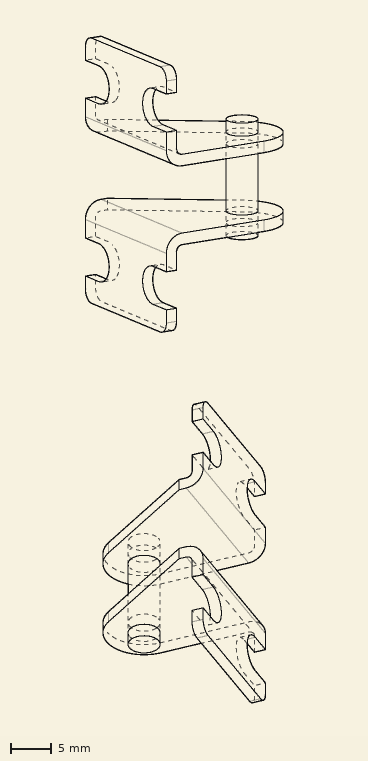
import cadquery as cq
import math

height = 34.05
width = 19.05
depth = 19.3

thickness = 1.5
inner_bend_radius = 0.78
outer_bend_radius = inner_bend_radius + thickness
ear_gap = 8.6
ear_inner_z = ear_gap / 2
flange_end_z = height / 2
flange_corner_radius = 1.5

tip_radius = 5.1
pin_x = width / 2 - tip_radius
pin_y = depth - tip_radius
slope_start_y = 3.25

slot_width = 4.87
slot_depth = 5.58
slot_end_distance = 5.6
slot_z = flange_end_z - slot_end_distance

pin_diameter = 3.98
pin_length = 14.98


def make_bent_sheet():
    """L-shaped sheet for the upper bracket, bent from the flange into the ear."""
    bend_z = ear_inner_z + outer_bend_radius
    diagonal = math.sqrt(0.5)
    outer_mid = outer_bend_radius * diagonal
    inner_mid = inner_bend_radius * diagonal
    return (
        cq.Workplane("YZ", origin=(-width / 2, 0, 0))
        .moveTo(0, flange_end_z)
        .lineTo(0, bend_z)
        .threePointArc(
            (outer_bend_radius - outer_mid, bend_z - outer_mid),
            (outer_bend_radius, ear_inner_z),
        )
        .lineTo(depth, ear_inner_z)
        .lineTo(depth, ear_inner_z + thickness)
        .lineTo(outer_bend_radius, ear_inner_z + thickness)
        .threePointArc(
            (outer_bend_radius - inner_mid, bend_z - inner_mid),
            (thickness, bend_z),
        )
        .lineTo(thickness, flange_end_z)
        .close()
        .extrude(width)
    )


def make_ear_outline():
    """Prism over the ear outline, tall enough to trim the whole bracket."""
    left = -width / 2
    right = width / 2
    run = left - pin_x
    rise = slope_start_y - pin_y
    corner_angle = math.atan2(rise, run)
    tangent_angle = corner_angle - math.acos(tip_radius / math.hypot(run, rise))
    tangent_x = pin_x + tip_radius * math.cos(tangent_angle)
    tangent_y = pin_y + tip_radius * math.sin(tangent_angle)
    return (
        cq.Workplane("XY")
        .moveTo(left, 0)
        .lineTo(right, 0)
        .lineTo(right, pin_y)
        .threePointArc((pin_x, depth), (tangent_x, tangent_y))
        .lineTo(left, slope_start_y)
        .close()
        .extrude(height)
    )


def make_slot(side):
    """Cutter for one round-ended slot, open at the flange side (side = -1 or 1)."""
    round_x = side * (width / 2 - slot_depth + slot_width / 2)
    round_end = (
        cq.Workplane("XZ", origin=(round_x, 0, slot_z))
        .circle(slot_width / 2)
        .extrude(-thickness)
    )
    straight_center_x = round_x + side * slot_depth / 2
    straight = (
        cq.Workplane("XZ", origin=(straight_center_x, 0, slot_z))
        .rect(slot_depth, slot_width)
        .extrude(-thickness)
    )
    return round_end.union(straight)


def make_upper_bracket():
    bracket = make_bent_sheet().intersect(make_ear_outline())
    bracket = bracket.faces(">Z").edges("|Y").fillet(flange_corner_radius)
    for side in (-1, 1):
        bracket = bracket.cut(make_slot(side))
    pin_hole = (
        cq.Workplane("XY")
        .center(pin_x, pin_y)
        .circle(pin_diameter / 2)
        .extrude(height)
    )
    return bracket.cut(pin_hole)


def make_brackets():
    """The upper bracket and its mirror image below."""
    upper = make_upper_bracket()
    brackets = []
    for is_lower in (False, True):
        bracket = upper.mirror("XY") if is_lower else upper
        brackets.append(bracket.val())
    return brackets


def make_pin():
    return (
        cq.Workplane("XY", origin=(pin_x, pin_y, -pin_length / 2))
        .circle(pin_diameter / 2)
        .extrude(pin_length)
    )


brackets = make_brackets()
pin = make_pin()

result = cq.Compound.makeCompound([*brackets, pin.val()])